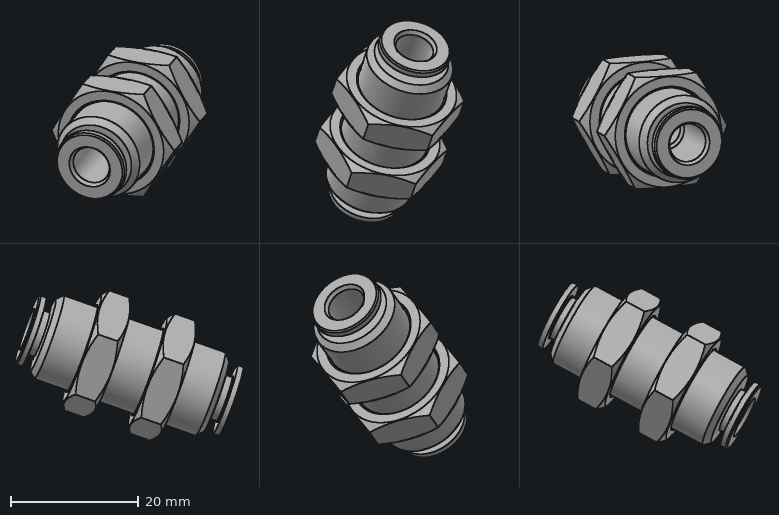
import cadquery as cq
import math

total_length = 34.4
half_length = total_length / 2

body_radius = 7.0
body_half_length = 14.5
body_chamfer = 1.0
end_cone_radius = 4.75
end_cone_height = 0.2

neck_radius = 3.7
neck_root_chamfer = 0.15
flange_radius = 5.75
flange_thickness = 1.2
flange_chamfer = 0.25

mouth_radius = 3.45
tube_radius = 3.05
mouth_depth = 0.7
tube_depth = 10.0
through_radius = 2.5
seat_angle = 30.0
seat_depth = (tube_radius - through_radius) * math.tan(math.radians(seat_angle))

nut_across_flats = 18.0
nut_thickness = 5.0
nut_spacing = 6.0
nut_face_radius = 8.9
nut_bevel_angle = 30.0
nut_countersink_radius = 7.3
nut_corner_radius = nut_across_flats / math.sqrt(3)


def revolve_profile(points):
    """Turn a closed (radius, y) outline about the Y axis."""
    return cq.Workplane("XY").polyline(points).close().revolve(360, (0, 0, 0), (0, 1, 0))


def revolve_symmetric(half_points):
    """Turn an outline given for +Y, from the middle to the end on the axis, with its mirror image."""
    mirrored = [(radius, -y) for radius, y in reversed(half_points)]
    return revolve_profile(mirrored + half_points)


def make_outside():
    """Body with a release sleeve at each end."""
    flange_start = half_length - flange_thickness
    return revolve_symmetric([
        (body_radius, body_half_length - body_chamfer),
        (body_radius - body_chamfer, body_half_length),
        (end_cone_radius, body_half_length),
        (neck_radius, body_half_length + end_cone_height),
        (neck_radius, flange_start - neck_root_chamfer),
        (neck_radius + neck_root_chamfer, flange_start),
        (flange_radius, flange_start),
        (flange_radius, half_length - flange_chamfer),
        (flange_radius - flange_chamfer, half_length),
        (0, half_length),
    ])


def make_bore():
    """Through hole with a conical seat, tube socket and flared mouth at each end."""
    tube_end = half_length - tube_depth
    return revolve_symmetric([
        (through_radius, tube_end - seat_depth),
        (tube_radius, tube_end),
        (tube_radius, half_length - mouth_depth),
        (mouth_radius, half_length),
        (0, half_length),
    ])


def make_nut():
    """Hexagon nut on the +Y side, corners along X, bevelled and countersunk on both faces."""
    inner_face = nut_spacing / 2
    outer_face = inner_face + nut_thickness
    bevel_depth = (nut_corner_radius - nut_face_radius) * math.tan(math.radians(nut_bevel_angle))
    countersink_depth = nut_countersink_radius - body_radius

    hexagon = (
        cq.Workplane("XZ", origin=(0, outer_face, 0))
        .polygon(6, 2 * nut_corner_radius)
        .extrude(nut_thickness)
    )
    bevelled_ring = revolve_profile([
        (body_radius, inner_face + countersink_depth),
        (nut_countersink_radius, inner_face),
        (nut_face_radius, inner_face),
        (nut_corner_radius, inner_face + bevel_depth),
        (nut_corner_radius, outer_face - bevel_depth),
        (nut_face_radius, outer_face),
        (nut_countersink_radius, outer_face),
        (body_radius, outer_face - countersink_depth),
    ])
    return hexagon.intersect(bevelled_ring)


nut = make_nut()
result = make_outside().union(nut).union(nut.mirror("XZ")).cut(make_bore())